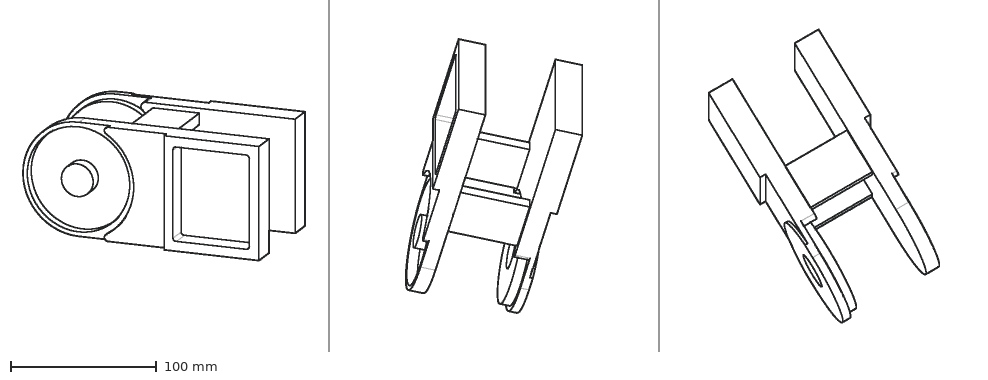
import cadquery as cq
import math

LENGTH = 177.0
WIDTH = 87.8
HEIGHT = 82.0
HALF_HEIGHT = HEIGHT / 2
END_RADIUS = HALF_HEIGHT
RIGHT_END = LENGTH - END_RADIUS

FRONT_PLATE_FACE = 8.5
FRONT_PLATE_BACK = 19.1
FRONT_SHOULDER_FACE = 4.6
FRONT_PAD_LEFT = 66.2
SOCKET_RADIUS = 37.7
SOCKET_DEPTH = 7.5
PIN_RADIUS = 11.7
PIN_FACE = 6.2

POCKET_LEFT = 72.7
POCKET_RIGHT = 128.9
POCKET_HEIGHT = 67.6
POCKET_DEPTH = 15.4
POCKET_CORNER_RADIUS = 2.3

REAR_SHOULDER_FACE = 68.7
REAR_DISC_FACE = 72.5
REAR_PLATE_FACE = 79.3
REAR_PLATE_BACK = 83.4
REAR_CAP_BACK = 85.5
REAR_PAD_LEFT = 66.7
REAR_DISC_RADIUS = 37.3
PIN_HOLE_RADIUS = 12.5

CAP_CORNER_X = 10.1
CAP_TIP_X = 37.9

SHOULDER_RADIUS = 42.1
FRONT_TIP_RADIUS = 2.7
REAR_TIP_RADIUS = 3.5

WEB_LEFT = 31.5
WEB_RIGHT = 65.7
WEB_THICKNESS = 8.3
WEB_EDGE_INSET = 3.4


def section(y):
    """XZ sketch plane at the given Y; extrusions run toward +Y."""
    return cq.Workplane(cq.Plane(origin=(0, y, 0), xDir=(1, 0, 0), normal=(0, -1, 0)))


def extrude_between(sketch, y_start, y_end):
    return sketch(section(y_start)).extrude(y_start - y_end)


def block(x_start, x_end, y_start, y_end, z_start, z_end):
    size = (x_end - x_start, y_end - y_start, z_end - z_start)
    return cq.Workplane("XY").box(*size, centered=False).translate((x_start, y_start, z_start))


def disc(radius, y_start, y_end):
    return extrude_between(lambda plane: plane.circle(radius), y_start, y_end)


def round_ended_plate(y_start, y_end):
    def outline(plane):
        return (
            plane.moveTo(0, HALF_HEIGHT)
            .lineTo(RIGHT_END, HALF_HEIGHT)
            .lineTo(RIGHT_END, -HALF_HEIGHT)
            .lineTo(0, -HALF_HEIGHT)
            .threePointArc((-END_RADIUS, 0), (0, HALF_HEIGHT))
            .close()
        )

    return extrude_between(outline, y_start, y_end)


def shoulder(tip_radius, y_start, y_end):
    """Layer whose left side is concave, with tips tangent to the arc and the long edges."""
    tip_z = HALF_HEIGHT - tip_radius
    tip_distance = SHOULDER_RADIUS + tip_radius
    tip_x = math.sqrt(tip_distance**2 - tip_z**2)
    join_x = tip_x * SHOULDER_RADIUS / tip_distance
    join_z = tip_z * SHOULDER_RADIUS / tip_distance

    def outline(plane):
        return (
            plane.moveTo(tip_x, HALF_HEIGHT)
            .lineTo(RIGHT_END, HALF_HEIGHT)
            .lineTo(RIGHT_END, -HALF_HEIGHT)
            .lineTo(tip_x, -HALF_HEIGHT)
            .threePointArc((tip_x - tip_radius, -tip_z), (join_x, -join_z))
            .threePointArc((SHOULDER_RADIUS, 0), (join_x, join_z))
            .threePointArc((tip_x - tip_radius, tip_z), (tip_x, HALF_HEIGHT))
            .close()
        )

    return extrude_between(outline, y_start, y_end)


def pad(x_start, y_start, y_end):
    return block(x_start, RIGHT_END, y_start, y_end, -HALF_HEIGHT, HALF_HEIGHT)


def front_arm():
    socket_floor = FRONT_PLATE_FACE + SOCKET_DEPTH
    pocket = block(
        POCKET_LEFT, POCKET_RIGHT, 0, POCKET_DEPTH, -POCKET_HEIGHT / 2, POCKET_HEIGHT / 2
    )
    pocket = pocket.edges("|Y").fillet(POCKET_CORNER_RADIUS)
    return (
        round_ended_plate(FRONT_PLATE_FACE, FRONT_PLATE_BACK)
        .cut(disc(SOCKET_RADIUS, FRONT_PLATE_FACE, socket_floor))
        .union(disc(PIN_RADIUS, PIN_FACE, socket_floor))
        .union(shoulder(FRONT_TIP_RADIUS, FRONT_SHOULDER_FACE, FRONT_PLATE_FACE))
        .union(pad(FRONT_PAD_LEFT, 0, FRONT_PLATE_FACE))
        .cut(pocket)
    )


def rear_cap():
    def outline(plane):
        return (
            plane.moveTo(0, HALF_HEIGHT)
            .lineTo(CAP_CORNER_X, HALF_HEIGHT)
            .threePointArc((CAP_TIP_X, 0), (CAP_CORNER_X, -HALF_HEIGHT))
            .lineTo(0, -HALF_HEIGHT)
            .threePointArc((-END_RADIUS, 0), (0, HALF_HEIGHT))
            .close()
        )

    return extrude_between(outline, REAR_PLATE_BACK, REAR_CAP_BACK)


def rear_arm():
    return (
        round_ended_plate(REAR_PLATE_FACE, REAR_PLATE_BACK)
        .union(rear_cap())
        .union(disc(REAR_DISC_RADIUS, REAR_DISC_FACE, REAR_PLATE_FACE))
        .union(shoulder(REAR_TIP_RADIUS, REAR_SHOULDER_FACE, REAR_PLATE_FACE))
        .union(pad(REAR_PAD_LEFT, REAR_PLATE_BACK, WIDTH))
        .cut(disc(PIN_HOLE_RADIUS, REAR_DISC_FACE, REAR_CAP_BACK))
    )


result = front_arm().union(rear_arm())

web_top = HALF_HEIGHT - WEB_EDGE_INSET
for web_bottom in (web_top - WEB_THICKNESS, -web_top):
    web = block(
        WEB_LEFT,
        WEB_RIGHT,
        FRONT_PLATE_BACK,
        REAR_SHOULDER_FACE,
        web_bottom,
        web_bottom + WEB_THICKNESS,
    )
    result = result.union(web)